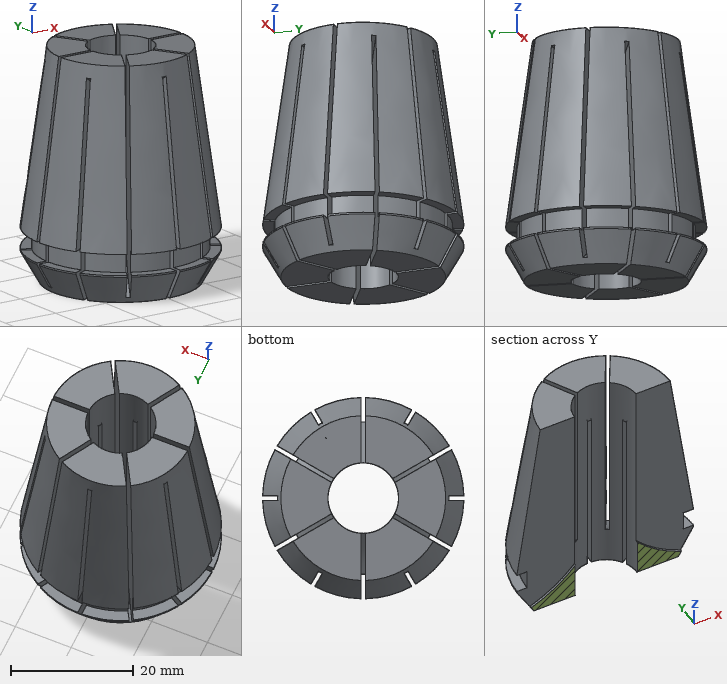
import cadquery as cq
import math

height = 40.0
rim_diameter = 33.0
bore_diameter = 11.5
nose_length = 5.2
nose_angle = 30.0
rim_land = 0.3
groove_width = 3.6
groove_diameter = 29.3
taper_angle = 8.0

slots_per_end = 6
slot_width = 0.7
saw_radius = 22.4
bottom_web = 1.0
top_web = 2.35
upper_run_out_rise = 5.9
lower_run_out_drop = 5.6
clearance = 2.0

rim_radius = rim_diameter / 2
bore_radius = bore_diameter / 2
groove_bottom = nose_length + rim_land
taper_bottom = groove_bottom + groove_width
nose_slope = math.tan(math.radians(nose_angle))
taper_slope = math.tan(math.radians(taper_angle))


def nose_radius(z):
    """Outer radius of the nose cone at height z."""
    return rim_radius - (nose_length - z) * nose_slope


def taper_radius(z):
    """Outer radius of the long taper at height z."""
    return rim_radius - (z - taper_bottom) * taper_slope


def collet_body():
    """Revolved collet with its nose cone, nut groove, taper and bore."""
    return (
        cq.Workplane("XZ")
        .moveTo(bore_radius, 0)
        .lineTo(nose_radius(0), 0)
        .lineTo(rim_radius, nose_length)
        .lineTo(rim_radius, groove_bottom)
        .lineTo(groove_diameter / 2, groove_bottom)
        .lineTo(groove_diameter / 2, taper_bottom)
        .lineTo(rim_radius, taper_bottom)
        .lineTo(taper_radius(height), height)
        .lineTo(bore_radius, height)
        .close()
        .revolve(360, (0, 0, 0), (0, 1, 0))
    )


def slot_cutter(outer_radius, outer_z, bore_z, open_z):
    """Thin radial cutter along +X, open at open_z, whose closed end is the arc left by a saw."""
    reach = rim_radius + clearance
    arc_radius = -saw_radius if open_z > outer_z else saw_radius
    return (
        cq.Workplane("XZ")
        .moveTo(0, open_z)
        .lineTo(0, bore_z)
        .lineTo(bore_radius, bore_z)
        .radiusArc((outer_radius, outer_z), arc_radius)
        .lineTo(reach, outer_z)
        .lineTo(reach, open_z)
        .close()
        .extrude(slot_width / 2, both=True)
    )


def cut_ring(body, cutter, first_angle):
    """Repeat one slot cutter around the axis."""
    for index in range(slots_per_end):
        angle = first_angle + index * 360 / slots_per_end
        body = body.cut(cutter.rotate((0, 0, 0), (0, 0, 1), angle))
    return body


top_web_z = height - top_web
upper_slot = slot_cutter(
    nose_radius(bottom_web), bottom_web, bottom_web + upper_run_out_rise, height + clearance
)
lower_slot = slot_cutter(
    taper_radius(top_web_z), top_web_z, top_web_z - lower_run_out_drop, -clearance
)

result = collet_body()
result = cut_ring(result, upper_slot, 0)
result = cut_ring(result, lower_slot, 180 / slots_per_end)